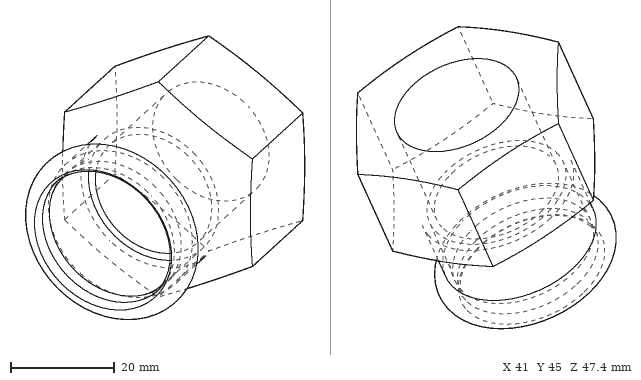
import cadquery as cq
import math

total_length = 45.0
across_corners = 47.35
across_flats = across_corners * math.cos(math.radians(30))

nut_chamfer_angle = 15.0
nut_front_corner = 23.15
nut_face_radius = 32.05 / 2

tube_radius = 31.4 / 2
bead_section_radius = 3.7
bead_crest_radius = 18.35

lip_radius = 28.8 / 2
lip_rounding = 0.7
seal_start = 2.25
seal_end = 2 * bead_section_radius - seal_start
seal_crest_radius = 14.1
lead_in_start = 6.65
lead_in_end = 7.5
socket_radius = 28.4 / 2
bore_radius = 25.4 / 2

chamfer_slope = math.tan(math.radians(nut_chamfer_angle))
corner_radius = across_corners / 2
nut_front = nut_front_corner - (corner_radius - nut_face_radius) * chamfer_slope
neck_fillet = nut_face_radius - tube_radius
back_face_radius = across_flats / 2
back_corner = total_length - (corner_radius - back_face_radius) * chamfer_slope
bead_center_radius = bead_crest_radius - bead_section_radius
bead_tube_meeting = bead_section_radius + math.sqrt(
    bead_section_radius**2 - (tube_radius - bead_center_radius) ** 2
)
socket_end = nut_front


def revolve_about_y(profile):
    """Turn a closed (radius, Y) profile once round the Y axis."""
    return profile.close().revolve(360, (0, 0, 0), (0, 1, 0))


def make_nut():
    """Hexagonal prism, corners at +Z and -Z, with both ends turned to a cone."""
    prism = (
        cq.Workplane("XZ")
        .polygon(6, across_corners)
        .extrude(-total_length)
        .rotate((0, 0, 0), (0, 1, 0), 30)
    )
    envelope = revolve_about_y(
        cq.Workplane("XY")
        .moveTo(0, nut_front)
        .lineTo(nut_face_radius, nut_front)
        .lineTo(corner_radius, nut_front_corner)
        .lineTo(corner_radius, back_corner)
        .lineTo(back_face_radius, total_length)
        .lineTo(0, total_length)
    )
    return prism.intersect(envelope)


def make_tube():
    """Tube with the round press bead at its end and a small fillet at the nut."""
    fillet_reach = neck_fillet * (1 - math.sqrt(0.5))
    return revolve_about_y(
        cq.Workplane("XY")
        .moveTo(0, 0)
        .lineTo(bead_center_radius, 0)
        .threePointArc((bead_crest_radius, bead_section_radius), (tube_radius, bead_tube_meeting))
        .lineTo(tube_radius, nut_front - neck_fillet)
        .threePointArc(
            (tube_radius + fillet_reach, nut_front - fillet_reach),
            (nut_face_radius, nut_front),
        )
        .lineTo(nut_face_radius, nut_front_corner)
        .lineTo(0, nut_front_corner)
    )


def make_bore():
    """Rounded lip, inward bulge of the seal ring, lead-in cone, tube socket and through bore."""
    rounding_reach = lip_rounding * (1 - math.sqrt(0.5))
    return revolve_about_y(
        cq.Workplane("XY")
        .lineTo(lip_radius + lip_rounding, 0)
        .threePointArc(
            (lip_radius + rounding_reach, rounding_reach),
            (lip_radius, lip_rounding),
        )
        .lineTo(lip_radius, seal_start)
        .threePointArc((seal_crest_radius, bead_section_radius), (lip_radius, seal_end))
        .lineTo(lip_radius, lead_in_start)
        .lineTo(socket_radius, lead_in_end)
        .lineTo(socket_radius, socket_end)
        .lineTo(bore_radius, socket_end)
        .lineTo(bore_radius, total_length)
        .lineTo(0, total_length)
    )


result = make_nut().union(make_tube()).cut(make_bore())